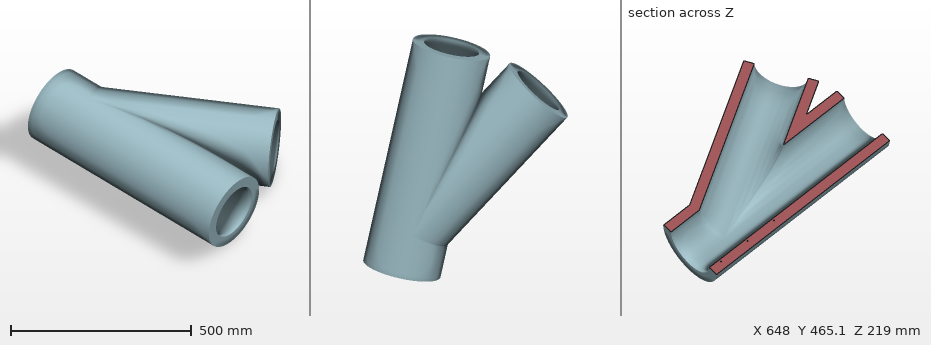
import cadquery as cq
import math

run_length = 648.0
outer_diameter = 219.0
bore_diameter = 155.5
branch_angle = 30.0
branch_offset = 127.0
branch_length = 521.5

run_start = cq.Vector(0, 0, 0)
run_direction = cq.Vector(1, 0, 0)
branch_start = cq.Vector(branch_offset, 0, 0)
branch_direction = cq.Vector(
    math.cos(math.radians(branch_angle)),
    math.sin(math.radians(branch_angle)),
    0,
)


def wye_body(diameter):
    """Join a run and a branch cylinder of the same diameter."""
    radius = diameter / 2
    run = cq.Solid.makeCylinder(radius, run_length, run_start, run_direction)
    branch = cq.Solid.makeCylinder(radius, branch_length, branch_start, branch_direction)
    return cq.Workplane(run).union(cq.Workplane(branch))


result = wye_body(outer_diameter).cut(wye_body(bore_diameter))